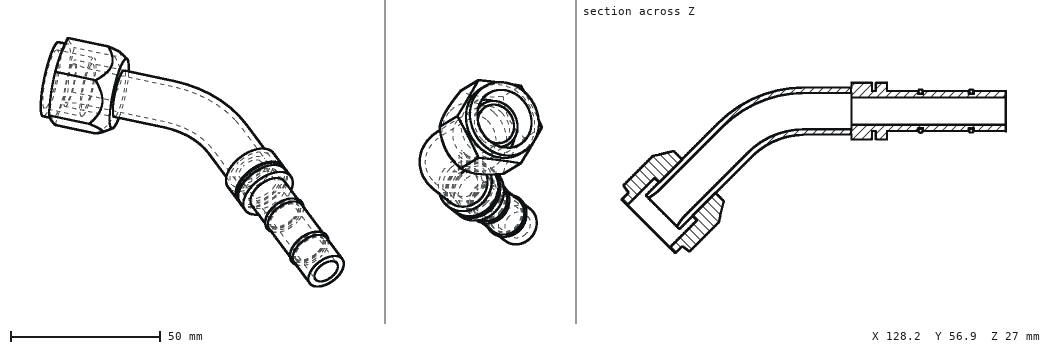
import cadquery as cq
import math


tube_radius = 8.0
tube_bore_radius = 6.0
bend_radius = 32.5
bend_angle = 45.0
straight_leg = 15.8
seat_radius = 6.7
seat_depth = 3.8

nut_reach = 40.9
nut_length = 23.7
nut_flats = 27.0
nut_rim_radius = 12.7
nut_rim_length = 3.2
nut_front_cone_end = 3.7
nut_rear_cone_start = 17.7
nut_rear_radius = 11.9
nut_bore_radius = 10.0
nut_bore_depth = 12.8
tube_setback = 6.7

collar_radius = 9.5
collar_length = 6.9
clip_groove_width = 1.2
clip_groove_chamfer = 0.3
flange_length = 3.8
tail_radius = 6.8
tail_length = 39.6
tail_bore_radius = 4.5

ring_section_radius = 0.8
ring_center_radius = 6.5
ring_setbacks = (11.5, 28.5)

half_hex_side_angle = 30.0
nut_corner_radius = nut_flats / 2 / math.cos(math.radians(half_hex_side_angle))
slanted_leg = nut_reach - tube_setback
tail_end = straight_leg + collar_length + clip_groove_width + flange_length + tail_length
ring_places = [tail_end - setback for setback in ring_setbacks]


def slanted_plane(distance):
    """Plane across the slanted leg, this far past the bend, facing back towards the bend."""
    angle = math.radians(bend_angle)
    along_x = math.cos(angle)
    along_y = math.sin(angle)
    x = -bend_radius * math.sin(angle) - distance * along_x
    y = -bend_radius * (1 - math.cos(angle)) - distance * along_y
    return cq.Plane(origin=(x, y, 0), xDir=(0, 0, 1), normal=(along_x, along_y, 0))


def place_on_slanted_leg(body, distance):
    """Move a body built along +Z from the origin onto the slanted leg."""
    return cq.Workplane(body.val().moved(cq.Location(slanted_plane(distance))))


def tube_rod(radius):
    """Solid rod along the whole tube: straight leg, bend and slanted leg."""
    straight = cq.Workplane("YZ").circle(radius).extrude(straight_leg)
    bend = (
        cq.Workplane("YZ")
        .circle(radius)
        .revolve(bend_angle, (-bend_radius, 0, 0), (-bend_radius, 1, 0))
    )
    slanted = cq.Workplane(slanted_plane(slanted_leg)).circle(radius).extrude(slanted_leg)
    return straight.union(bend).union(slanted)


def make_tube():
    """Bent tube with a conical seat in its slanted end."""
    seat_profile = [(0, 0), (seat_radius, 0), (tube_bore_radius, seat_depth), (0, seat_depth)]
    seat = (
        cq.Workplane("XZ")
        .polyline(seat_profile)
        .close()
        .revolve(360, (0, 0, 0), (0, 1, 0))
    )
    seat = place_on_slanted_leg(seat, slanted_leg)
    return tube_rod(tube_radius).cut(tube_rod(tube_bore_radius)).cut(seat)


def make_nut():
    """Loose hex nut, open at the front, with a hole for the tube at the rear."""
    hexagon = cq.Workplane("XY").polygon(6, 2 * nut_corner_radius).extrude(nut_length)
    turned = (
        cq.Workplane("XZ")
        .polyline(
            [
                (0, 0),
                (nut_rim_radius, 0),
                (nut_rim_radius, nut_rim_length),
                (nut_corner_radius, nut_front_cone_end),
                (nut_corner_radius, nut_rear_cone_start),
                (nut_rear_radius, nut_length),
                (0, nut_length),
            ]
        )
        .close()
        .revolve(360, (0, 0, 0), (0, 1, 0))
    )
    bore = cq.Workplane("XY").circle(nut_bore_radius).extrude(nut_bore_depth)
    tube_hole = cq.Workplane("XY").circle(tube_radius).extrude(nut_length)
    nut = hexagon.intersect(turned).cut(bore).cut(tube_hole)
    nut = nut.rotate((0, 0, 0), (0, 0, 1), half_hex_side_angle)
    return place_on_slanted_leg(nut, nut_reach)


def ring_groove(place):
    """Cutter for the square-bottomed groove that just takes one sealing ring."""
    floor_radius = ring_center_radius - ring_section_radius
    return (
        cq.Workplane("YZ", origin=(place - ring_section_radius, 0, 0))
        .circle(collar_radius)
        .circle(floor_radius)
        .extrude(2 * ring_section_radius)
    )


def make_hose_tail():
    """Turned tail: a collar against the tube end, a clip groove, a flange and the hose spigot."""
    groove_start = straight_leg + collar_length
    flange_start = groove_start + clip_groove_width
    flange_end = flange_start + flange_length
    tail = (
        cq.Workplane("XY")
        .polyline(
            [
                (straight_leg, tail_bore_radius),
                (straight_leg, collar_radius),
                (groove_start - clip_groove_chamfer, collar_radius),
                (groove_start, collar_radius - clip_groove_chamfer),
                (groove_start, tail_radius),
                (flange_start, tail_radius),
                (flange_start, collar_radius - clip_groove_chamfer),
                (flange_start + clip_groove_chamfer, collar_radius),
                (flange_end, collar_radius),
                (flange_end, tail_radius),
                (tail_end, tail_radius),
                (tail_end, tail_bore_radius),
            ]
        )
        .close()
        .revolve(360, (0, 0, 0), (1, 0, 0))
    )
    for place in ring_places:
        tail = tail.cut(ring_groove(place))
    return tail


def make_sealing_ring(place):
    """Round-section ring that stands slightly proud of the hose tail."""
    return (
        cq.Workplane("XY")
        .center(place, ring_center_radius)
        .circle(ring_section_radius)
        .revolve(360, (0, -ring_center_radius, 0), (1, -ring_center_radius, 0))
    )


tube = make_tube()
nut = make_nut()
hose_tail = make_hose_tail()
sealing_rings = [make_sealing_ring(place) for place in ring_places]

result = cq.Compound.makeCompound(
    [tube.val(), nut.val(), hose_tail.val(), *[ring.val() for ring in sealing_rings]]
)